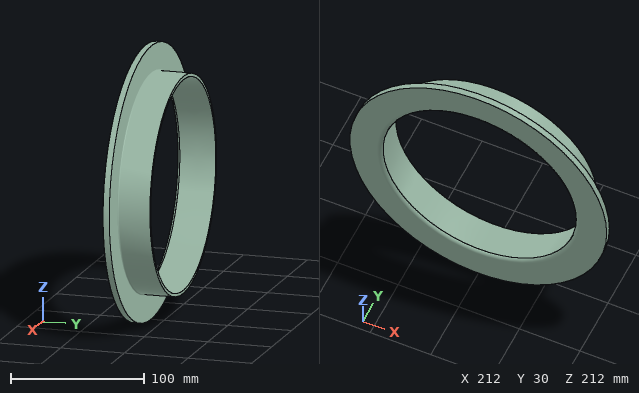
import cadquery as cq

flange_diameter = 212.0
flange_thickness = 5.0
tube_diameter = 168.3
overall_length = 30.0
root_radius = 0.95

rear_bore_diameter = 163.2
throat_diameter = 159.2

mouth_diameter = 167.3
mouth_depth = 2.5
mouth_round_radius = 4.0

flange_radius = flange_diameter / 2
tube_radius = tube_diameter / 2
rear_bore_radius = rear_bore_diameter / 2
throat_radius = throat_diameter / 2
mouth_radius = mouth_diameter / 2

front_y = -overall_length / 2
flange_back_y = front_y + flange_thickness
throat_y = front_y + mouth_depth
back_y = overall_length / 2

half_section = (
    cq.Workplane("XY")
    .moveTo(mouth_radius, front_y)
    .lineTo(flange_radius, front_y)
    .lineTo(flange_radius, flange_back_y)
    .lineTo(tube_radius + root_radius, flange_back_y)
    .radiusArc((tube_radius, flange_back_y + root_radius), root_radius)
    .lineTo(tube_radius, back_y)
    .lineTo(rear_bore_radius, back_y)
    .lineTo(throat_radius, throat_y)
    .radiusArc((mouth_radius, front_y), -mouth_round_radius)
    .close()
)

result = half_section.revolve(360, (0, 0, 0), (0, 1, 0))